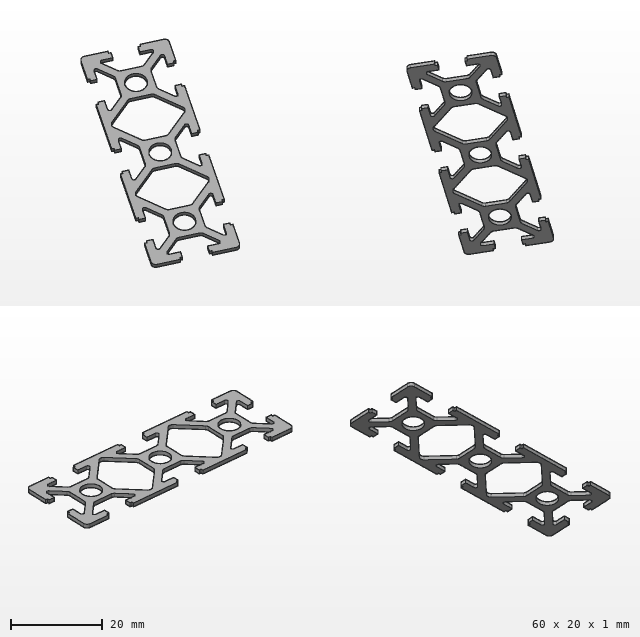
import cadquery as cq

length = 60
cell_count = 3
cell = length / cell_count
half_cell = cell / 2
thickness = 1.0

rounding_radius = 1.0

bore_diameter = 5.0

lip_thickness = 2.05
mouth_half_width = 3.05
mouth_step = 0.55
slot_tip_radius = 0.5

core_half_width = 4.0
web_thickness = 1.8
web_offset = web_thickness / 2**0.5
core_flat_half_width = core_half_width - web_offset

cell_centres = [(i - (cell_count - 1) / 2) * cell for i in range(cell_count)]


def slot_cutter():
    """T-slot opening on the +Y side of a cell centred on the origin."""
    lip_inner = half_cell - lip_thickness
    step_floor = half_cell - mouth_step
    step_half_width = mouth_half_width + mouth_step
    right_side = [
        (core_flat_half_width, core_half_width),
        (lip_inner - web_offset, lip_inner),
        (mouth_half_width, lip_inner),
        (mouth_half_width, step_floor),
        (step_half_width, step_floor),
        (step_half_width, half_cell),
    ]
    left_side = [(-x, y) for x, y in reversed(right_side)]
    cutter = cq.Workplane("XY").polyline(right_side + left_side).close().extrude(thickness)
    cutter = cutter.edges("|Z and <Y").fillet(rounding_radius)
    return cutter.edges("|Z and (<X or >X)").fillet(slot_tip_radius)


def window_cutter():
    """Six-sided window centred on the origin, with its tips at +Y and -Y."""
    side = half_cell - core_half_width
    tip = half_cell - web_offset
    right_side = [(0, -tip), (side, -core_flat_half_width), (side, core_flat_half_width)]
    left_side = [(-x, -y) for x, y in right_side]
    cutter = cq.Workplane("XY").polyline(right_side + left_side).close().extrude(thickness)
    return cutter.edges("|Z").fillet(rounding_radius)


def turned(cutter, angle):
    """The cutter turned about the Z axis."""
    return cutter.rotate((0, 0, 0), (0, 0, 1), angle)


plate = cq.Workplane("XY").box(length, cell, thickness, centered=(True, True, False))
plate = plate.edges("|Z").fillet(rounding_radius)

slot = slot_cutter()
bore = cq.Workplane("XY").circle(bore_diameter / 2).extrude(thickness)
for x in cell_centres:
    for cutter in (bore, slot, turned(slot, 180)):
        plate = plate.cut(cutter.translate((x, 0, 0)))

for x, angle in ((cell_centres[0], 90), (cell_centres[-1], -90)):
    plate = plate.cut(turned(slot, angle).translate((x, 0, 0)))

window = window_cutter()
for x in cell_centres[:-1]:
    plate = plate.cut(window.translate((x + half_cell, 0, 0)))

result = plate